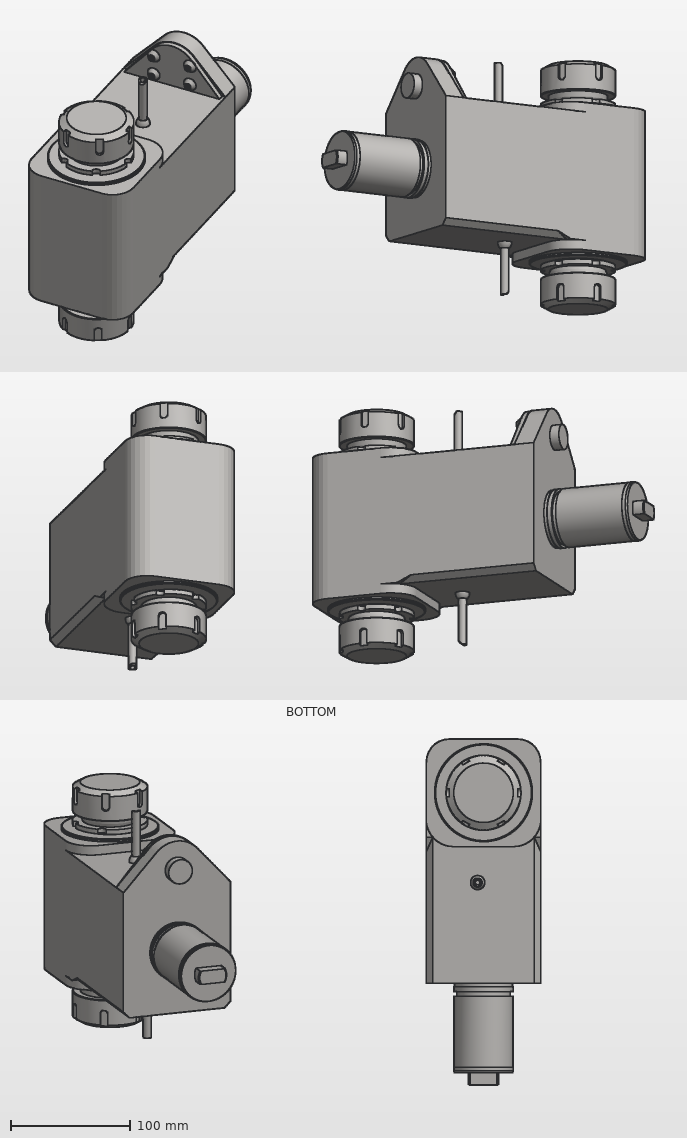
import cadquery as cq
import math


BODY_WIDTH = 96.0
BODY_LENGTH = 204.7
BODY_HEIGHT = 109.5
BOTTOM_CHAMFER = 5.5
RUNOUT_START_Y = -110.2
RUNOUT_END_Y = -122.5
HEAD_DEPTH = 90.2
HEAD_HEIGHT = 126.0
HEAD_REAR_RADIUS = 22.5
HEAD_FRONT_RADIUS = 19.5
HEAD_FRONT_FACETS = 7
HEAD_REAR_Y = HEAD_DEPTH - BODY_LENGTH
TOOL_Y = HEAD_REAR_Y - HEAD_DEPTH / 2
COLLAR_DIAMETER = 82.0
COLLAR_HEIGHT = 2.3
COLLAR_CHAMFER = 1.0

SHANK_DIAMETER = 50.0
BARREL_DIAMETER = 49.5
ROOT_DIAMETER = 48.7
GROOVE_DIAMETER = 45.0
ROOT_END = 3.0
GROOVE_START = 7.0
GROOVE_END = 10.7
SHANK_BAND = 70.2
SHANK_SHOULDER = 73.5
SHANK_END = 75.0
TANG_END = 85.3
TANG_WIDTH = 25.2
TANG_THICKNESS = 11.5
TANG_TIP_CHAMFER = 1.0

LUG_DEPTH = 17.5
LUG_RADIUS = 24.6
LUG_CENTRE_Z = 70.5
COVER_DEPTH = 5.0
COVER_RADIUS = 24.0
COVER_WIDTH = 90.0
LOCATING_PIN_DIAMETER = 21.2
LOCATING_PIN_LENGTH = 8.0
SCREW_DIAMETER = 11.5
SCREW_TIP_DIAMETER = 6.0
SCREW_HEIGHT = 4.0
SOCKET_DIAMETER = 4.0
SOCKET_DEPTH = 2.0
SCREW_SPACING_X = 34.2
SCREW_SPACING_Z = 18.3

NECK_DIAMETER = 54.2
NECK_HEIGHT = 1.5
DISC_DIAMETER = 63.0
DISC_HEIGHT = 4.0
NOSE_SMALL_DIAMETER = 46.7
NOSE_MID_DIAMETER = 48.7
NOSE_MID_HEIGHT = 3.0
NOSE_HEIGHT = 7.2
NOTCH_DIAMETER = 7.0
NOTCH_ANGLE = -3.0
NOTCH_COUNT = 6

NUT_DIAMETER = 63.0
NUT_HEIGHT = 25.5
NUT_FACE_DIAMETER = 50.0
NUT_BEVEL_HEIGHT = 3.8
NUT_EDGE_CHAMFER = 0.5
SLOT_WIDTH = 6.5
SLOT_DEPTH = 2.5
SLOT_LENGTH = 16.5
SLOT_COUNT = 6
UPPER_NUT_ANGLE = 2.5

NOZZLE_X = 5.0
NOZZLE_Y = -84.5
BALL_DIAMETER = 12.0
BALL_TOP_DIAMETER = 7.5
BALL_RIM = 1.0
BALL_SHOULDER_DIAMETER = 10.2
BALL_SHOULDER_HEIGHT = 3.5
BALL_HEIGHT = 5.2
TUBE_DIAMETER = 7.0
TUBE_LENGTH = 44.7
TUBE_BORE = 4.0
TUBE_BORE_DEPTH = 5.8

COLLAR_TOP = HEAD_HEIGHT / 2 + COLLAR_HEIGHT
SPINDLE_TOP = COLLAR_TOP + NECK_HEIGHT + DISC_HEIGHT + NOSE_HEIGHT


def main_block():
    """Block behind the head, its two lower side edges chamfered and running out at the head."""
    length = HEAD_REAR_RADIUS - HEAD_REAR_Y
    bottom = -BODY_HEIGHT / 2
    side = BODY_WIDTH / 2
    block = cq.Workplane("XY").box(BODY_WIDTH, length, BODY_HEIGHT).translate((0, -length / 2, 0))
    cut_extent = (
        cq.Workplane("YZ")
        .polyline([
            (0, bottom),
            (0, bottom + BOTTOM_CHAMFER),
            (RUNOUT_START_Y, bottom + BOTTOM_CHAMFER),
            (RUNOUT_END_Y, bottom),
        ])
        .close()
        .extrude(side, both=True)
    )
    for sign in (-1, 1):
        corner = (
            cq.Workplane("XZ")
            .polyline([
                (sign * side, bottom),
                (sign * (side - BOTTOM_CHAMFER), bottom),
                (sign * side, bottom + BOTTOM_CHAMFER),
            ])
            .close()
            .extrude(length)
        )
        block = block.cut(corner.intersect(cut_extent))
    return block


def head_block():
    """Tall front block: round rear corners, front corners broken into flat facets."""
    side = BODY_WIDTH / 2
    straight = side - HEAD_REAR_RADIUS
    slant = HEAD_REAR_RADIUS * (1 - math.sqrt(0.5))
    facet_angle = math.radians(90 / HEAD_FRONT_FACETS)
    centre_x = side - HEAD_FRONT_RADIUS
    centre_y = HEAD_FRONT_RADIUS - BODY_LENGTH
    left_corner = [
        (-centre_x - HEAD_FRONT_RADIUS * math.cos(i * facet_angle),
         centre_y - HEAD_FRONT_RADIUS * math.sin(i * facet_angle))
        for i in range(HEAD_FRONT_FACETS + 1)
    ]
    right_corner = [(-x, y) for x, y in reversed(left_corner)]
    outline = (
        cq.Workplane("XY", origin=(0, 0, -HEAD_HEIGHT / 2))
        .moveTo(straight, HEAD_REAR_Y)
        .lineTo(-straight, HEAD_REAR_Y)
        .threePointArc((-side + slant, HEAD_REAR_Y - slant), (-side, HEAD_REAR_Y - HEAD_REAR_RADIUS))
    )
    for x, y in left_corner + right_corner:
        outline = outline.lineTo(x, y)
    return (
        outline.lineTo(side, HEAD_REAR_Y - HEAD_REAR_RADIUS)
        .threePointArc((side - slant, HEAD_REAR_Y - slant), (straight, HEAD_REAR_Y))
        .close()
        .extrude(HEAD_HEIGHT)
    )


def collars():
    """Bearing collars on the upper and lower face of the head."""
    return (
        cq.Workplane("XY", origin=(0, TOOL_Y, -COLLAR_TOP))
        .circle(COLLAR_DIAMETER / 2)
        .extrude(2 * COLLAR_TOP)
        .faces("<Z or >Z")
        .chamfer(COLLAR_CHAMFER)
    )


def shank():
    """Cylindrical shank with its groove and the driving tang at the end."""
    full = SHANK_DIAMETER / 2
    barrel = BARREL_DIAMETER / 2
    root = ROOT_DIAMETER / 2
    groove = GROOVE_DIAMETER / 2
    body = (
        cq.Workplane("XY")
        .polyline([
            (0, 0),
            (root, 0),
            (root, ROOT_END),
            (full, ROOT_END),
            (full, GROOVE_START),
            (groove, GROOVE_START),
            (groove, GROOVE_END),
            (barrel, GROOVE_END),
            (barrel, SHANK_BAND),
            (full, SHANK_BAND),
            (full, SHANK_SHOULDER),
            (root, SHANK_END),
            (0, SHANK_END),
        ])
        .close()
        .revolve(360, (0, 0, 0), (0, 1, 0))
    )
    tang = (
        cq.Workplane("XZ")
        .circle(TANG_WIDTH / 2)
        .extrude(-TANG_END)
        .faces(">Y")
        .chamfer(TANG_TIP_CHAMFER)
        .intersect(cq.Workplane("XY").box(TANG_WIDTH, 2 * TANG_END, TANG_THICKNESS))
    )
    return body.union(tang)


def lug_plate(width, radius, depth):
    """Plate rising from the block top: straight flanks tangent to a round crest."""
    base_z = BODY_HEIGHT / 2
    rise = LUG_CENTRE_Z - base_z
    to_corner = math.hypot(width / 2, rise)
    tangent_angle = math.acos(radius / to_corner) - math.atan2(rise, width / 2)
    tangent_x = radius * math.cos(tangent_angle)
    tangent_z = LUG_CENTRE_Z + radius * math.sin(tangent_angle)
    return (
        cq.Workplane("XZ")
        .moveTo(-width / 2, base_z)
        .lineTo(-tangent_x, tangent_z)
        .threePointArc((0, LUG_CENTRE_Z + radius), (tangent_x, tangent_z))
        .lineTo(width / 2, base_z)
        .close()
        .extrude(depth)
    )


def locating_lug():
    """Lug with a raised cover, four screw heads and the locating pin behind it."""
    cover_y = -LUG_DEPTH - COVER_DEPTH
    lug = lug_plate(BODY_WIDTH, LUG_RADIUS, LUG_DEPTH)
    lug = lug.union(lug_plate(COVER_WIDTH, COVER_RADIUS, LUG_DEPTH + COVER_DEPTH))
    pin = (
        cq.Workplane("XZ", origin=(0, 0, LUG_CENTRE_Z))
        .circle(LOCATING_PIN_DIAMETER / 2)
        .extrude(-LOCATING_PIN_LENGTH)
    )
    screws = (
        cq.Workplane("XZ", origin=(0, cover_y, LUG_CENTRE_Z))
        .rect(SCREW_SPACING_X, SCREW_SPACING_Z, forConstruction=True)
        .vertices()
    )
    taper = math.degrees(math.atan2((SCREW_DIAMETER - SCREW_TIP_DIAMETER) / 2, SCREW_HEIGHT))
    heads = screws.circle(SCREW_DIAMETER / 2).extrude(SCREW_HEIGHT, taper=taper)
    sockets = (
        cq.Workplane("XZ", origin=(0, cover_y - SCREW_HEIGHT, LUG_CENTRE_Z))
        .rect(SCREW_SPACING_X, SCREW_SPACING_Z, forConstruction=True)
        .vertices()
        .polygon(6, SOCKET_DIAMETER)
        .extrude(-SOCKET_DEPTH)
    )
    return lug.union(pin).union(heads).cut(sockets)


def make_housing():
    housing = main_block().union(head_block())
    for feature in (collars(), shank(), locating_lug()):
        housing = housing.union(feature)
    return housing


def make_spindle():
    """Upper spindle nose: neck, notched disc and tapered nose standing on the collar."""
    neck_top = COLLAR_TOP + NECK_HEIGHT
    disc_top = neck_top + DISC_HEIGHT
    spindle = (
        cq.Workplane("XZ")
        .polyline([
            (0, COLLAR_TOP),
            (NECK_DIAMETER / 2, COLLAR_TOP),
            (NECK_DIAMETER / 2, neck_top),
            (DISC_DIAMETER / 2, neck_top),
            (DISC_DIAMETER / 2, disc_top),
            (NOSE_SMALL_DIAMETER / 2, disc_top),
            (NOSE_MID_DIAMETER / 2, disc_top + NOSE_MID_HEIGHT),
            (NUT_FACE_DIAMETER / 2, SPINDLE_TOP),
            (0, SPINDLE_TOP),
        ])
        .close()
        .revolve(360, (0, 0, 0), (0, 1, 0))
    )
    notches = (
        cq.Workplane("XY", origin=(0, 0, neck_top))
        .polarArray(DISC_DIAMETER / 2, NOTCH_ANGLE, 360, NOTCH_COUNT)
        .circle(NOTCH_DIAMETER / 2)
        .extrude(DISC_HEIGHT)
    )
    return spindle.cut(notches).translate((0, TOOL_Y, 0))


def make_nut(angle):
    """Upper clamping nut with a bevelled face and wrench slots, turned by the given angle."""
    top = SPINDLE_TOP + NUT_HEIGHT
    radius = NUT_DIAMETER / 2
    nut = (
        cq.Workplane("XZ")
        .polyline([
            (0, SPINDLE_TOP),
            (radius - NUT_EDGE_CHAMFER, SPINDLE_TOP),
            (radius, SPINDLE_TOP + NUT_EDGE_CHAMFER),
            (radius, top - NUT_BEVEL_HEIGHT),
            (NUT_FACE_DIAMETER / 2, top),
            (0, top),
        ])
        .close()
        .revolve(360, (0, 0, 0), (0, 1, 0))
    )
    slot = (
        cq.Workplane("YZ", origin=(radius - SLOT_DEPTH, 0, top))
        .slot2D(2 * SLOT_LENGTH, SLOT_WIDTH, 90)
        .extrude(2 * SLOT_DEPTH)
    )
    for i in range(SLOT_COUNT):
        nut = nut.cut(slot.rotate((0, 0, 0), (0, 0, 1), angle + i * 360 / SLOT_COUNT))
    return nut.translate((0, TOOL_Y, 0))


def make_nozzle():
    """Upper coolant nozzle: rounded base and a tube whose tip is cut off obliquely at the front."""
    base_r = BALL_DIAMETER / 2
    tube_r = TUBE_DIAMETER / 2
    base = (
        cq.Workplane("XZ")
        .moveTo(0, 0)
        .lineTo(base_r, 0)
        .lineTo(base_r, BALL_RIM)
        .threePointArc((BALL_SHOULDER_DIAMETER / 2, BALL_SHOULDER_HEIGHT), (BALL_TOP_DIAMETER / 2, BALL_HEIGHT))
        .lineTo(0, BALL_HEIGHT)
        .close()
        .revolve(360, (0, 0, 0), (0, 1, 0))
    )
    tube = cq.Workplane("XY").circle(tube_r).extrude(TUBE_LENGTH)
    tip = (
        cq.Workplane("YZ")
        .polyline([(0, TUBE_LENGTH), (-tube_r, TUBE_LENGTH), (-tube_r, TUBE_LENGTH - tube_r)])
        .close()
        .extrude(tube_r, both=True)
    )
    bore = (
        cq.Workplane("XY", origin=(0, 0, TUBE_LENGTH - TUBE_BORE_DEPTH))
        .circle(TUBE_BORE / 2)
        .extrude(TUBE_BORE_DEPTH)
    )
    return base.union(tube).cut(tip).cut(bore).translate((NOZZLE_X, NOZZLE_Y, BODY_HEIGHT / 2))


housing = make_housing()
upper_spindle = make_spindle()
spindles = [upper_spindle, upper_spindle.mirror("XY")]
nuts = [make_nut(UPPER_NUT_ANGLE), make_nut(0).mirror("XY")]
upper_nozzle = make_nozzle()
nozzles = [upper_nozzle, upper_nozzle.rotate((0, 0, 0), (0, 1, 0), 180)]

result = cq.Compound.makeCompound([housing.val()] + [body.val() for body in spindles + nuts + nozzles])